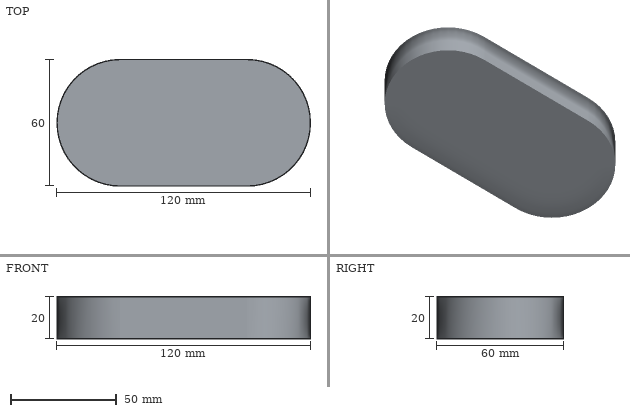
import cadquery as cq

LENGTH = 120.0
WIDTH = 60.0
THICKNESS = 20.0


def obround_plate(length, width, thickness):
    """Plate with straight sides along X and full half-round ends, resting on Z = 0."""
    return cq.Workplane("XY").slot2D(length, width).extrude(thickness)


result = obround_plate(LENGTH, WIDTH, THICKNESS)